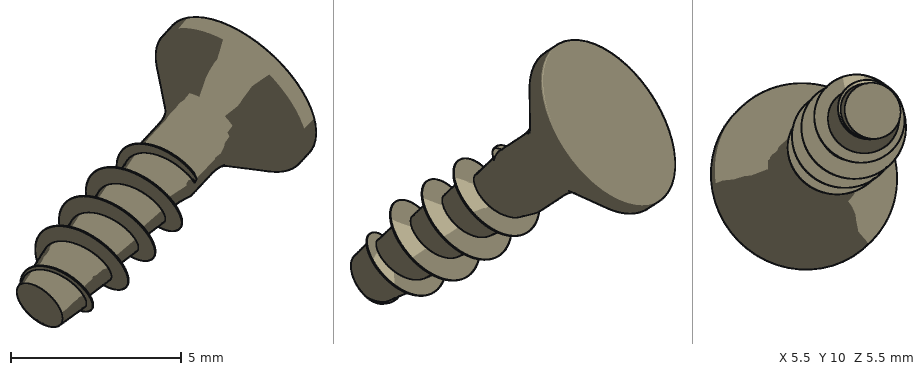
import cadquery as cq
import math

LENGTH = 10.0

HEAD_RADIUS = 2.75
HEAD_BAND = 0.54
HEAD_TOP_ROUND = 0.04
HEAD_EDGE_ROUND = 0.04
SHANK_RADIUS = 1.07
NECK_ROUND = 1.2
SHANK_END = 3.76
HEAD_CONE_END = HEAD_BAND + HEAD_RADIUS - SHANK_RADIUS

CORE_RADIUS = 0.84
LEAD_IN_SLOPE = 0.29
LEAD_IN_END = SHANK_END + (SHANK_RADIUS - CORE_RADIUS) / LEAD_IN_SLOPE
TIP_SLOPE = 0.17

TIP_RING_WIDTH = 0.04
DISH_RADIUS = CORE_RADIUS - TIP_RING_WIDTH
DISH_DEPTH = 0.06
TIP_CUT_LENGTH = 0.5
DISH_SPHERE_RADIUS = (DISH_RADIUS**2 + DISH_DEPTH**2) / (2 * DISH_DEPTH)

PITCH = 1.33
TURN_ZERO_DEPTH = 3.66
FULL_START = 1.0
FULL_END = 3.25
RUN_OUT_END = 4.75
CREST_RADIUS = 1.5
RUN_IN_RADIUS = 1.2
RUN_OUT_RADIUS = 0.85
CREST_HALF_WIDTH = 0.02
FLANK_SLOPE = 0.32

RAMP_RADIUS = 1.04
RAMP_SLOPE = 0.15
RAMP_WIDTH = 1.3
RAMP_START = -0.25
RAMP_START_DEPTH = TURN_ZERO_DEPTH + RAMP_START * PITCH

ROOT_RADIUS = 0.7
POINTS_PER_TURN = 24


def revolve_about_axis(points):
    """Revolve a half profile, given as (radius, depth) points, about the screw axis."""
    profile = cq.Workplane("XY").polyline([(radius, -depth) for radius, depth in points]).close()
    return profile.revolve(360, (0, 0, 0), (0, 1, 0))


def helix_edge(start, end, first, last):
    """Helix from turn start to turn end, moving evenly between two (offset, radius) points."""
    count = math.ceil(POINTS_PER_TURN * (end - start))
    points = []
    for i in range(count + 1):
        share = i / count
        turn = start + share * (end - start)
        offset = first[0] + share * (last[0] - first[0])
        radius = first[1] + share * (last[1] - first[1])
        angle = 2 * math.pi * turn
        depth = TURN_ZERO_DEPTH + PITCH * turn + offset
        points.append(cq.Vector(radius * math.cos(angle), -depth, radius * math.sin(angle)))
    return cq.Edge.makeSpline(points)


def helical_solid(start, end, first_section, last_section):
    """Solid between two sections of (offset towards the tip, radius) corners along the thread."""
    edges = [helix_edge(start, end, first, last) for first, last in zip(first_section, last_section)]
    faces = [cq.Face.makeRuledSurface(a, b) for a, b in zip(edges, edges[1:] + edges[:1])]
    for end_of_edge in (0, 1):
        corners = [edge.positionAt(end_of_edge) for edge in edges]
        faces.append(cq.Face.makeFromWires(cq.Wire.makePolygon(corners, close=True)))
    return cq.Workplane(cq.Solid.makeSolid(cq.Shell.makeShell(faces)).fix())


def round_circle(body, radius, depth, fillet):
    """Fillet the circular edge of the given radius and depth."""
    margin = 0.01
    reach = radius + margin
    box = cq.selectors.BoxSelector(
        (-reach, -depth - margin, -reach), (reach, -depth + margin, reach)
    )
    return body.edges("%CIRCLE").edges(box).fillet(fillet)


def make_head_and_shank():
    blank = revolve_about_axis([
        (0, 0),
        (HEAD_RADIUS, 0),
        (HEAD_RADIUS, HEAD_BAND),
        (SHANK_RADIUS, HEAD_CONE_END),
        (SHANK_RADIUS, SHANK_END),
        (CORE_RADIUS, LEAD_IN_END),
        (0, LEAD_IN_END),
    ])
    blank = round_circle(blank, SHANK_RADIUS, HEAD_CONE_END, NECK_ROUND)
    blank = round_circle(blank, HEAD_RADIUS, HEAD_BAND, HEAD_EDGE_ROUND)
    return round_circle(blank, HEAD_RADIUS, 0, HEAD_TOP_ROUND)


def make_core():
    """Cylinder with sawtooth ramps, trimmed to the conical tip."""
    section = [
        (0, ROOT_RADIUS),
        (0, RAMP_RADIUS),
        (RAMP_WIDTH, RAMP_RADIUS - RAMP_SLOPE * RAMP_WIDTH),
        (RAMP_WIDTH, ROOT_RADIUS),
    ]
    ramps = helical_solid(RAMP_START, RUN_OUT_END, section, section)
    core_length = LENGTH - RAMP_START_DEPTH
    core_start = cq.Workplane("XZ").workplane(offset=RAMP_START_DEPTH)
    cylinder = core_start.circle(CORE_RADIUS).extrude(core_length)
    envelope = revolve_about_axis([
        (0, RAMP_START_DEPTH),
        (CORE_RADIUS + TIP_SLOPE * core_length, RAMP_START_DEPTH),
        (CORE_RADIUS, LENGTH),
        (0, LENGTH),
    ])
    return cylinder.union(ramps, clean=False).intersect(envelope, clean=False)


def thread_section(crest_radius):
    root_half_width = CREST_HALF_WIDTH + FLANK_SLOPE * (crest_radius - ROOT_RADIUS)
    return [
        (-root_half_width, ROOT_RADIUS),
        (-CREST_HALF_WIDTH, crest_radius),
        (CREST_HALF_WIDTH, crest_radius),
        (root_half_width, ROOT_RADIUS),
    ]


def make_thread_parts():
    """Growing run-in, cut off flat at the shank, full turns and fading run-out of the thread."""
    stations = [
        (0, RUN_IN_RADIUS),
        (FULL_START, CREST_RADIUS),
        (FULL_END, CREST_RADIUS),
        (RUN_OUT_END, RUN_OUT_RADIUS),
    ]
    run_in, full_turns, run_out = [
        helical_solid(start, end, thread_section(first), thread_section(last))
        for (start, first), (end, last) in zip(stations, stations[1:])
    ]
    shank_zone = cq.Workplane("XZ").circle(HEAD_RADIUS).extrude(SHANK_END)
    return [run_in.cut(shank_zone), full_turns, run_out]


def make_tip_cutter():
    """Everything beyond the tip plane, bulging into the tip as a shallow dish."""
    beyond_tip = cq.Workplane("XZ").workplane(offset=LENGTH).circle(HEAD_RADIUS).extrude(TIP_CUT_LENGTH)
    dish_center = LENGTH + DISH_SPHERE_RADIUS - DISH_DEPTH
    dish = cq.Workplane("XY").sphere(DISH_SPHERE_RADIUS).translate((0, -dish_center, 0))
    return beyond_tip.union(dish)


screw = make_head_and_shank().union(make_core(), clean=False)
for thread_part in make_thread_parts():
    screw = screw.union(thread_part, clean=False)
screw = screw.cut(make_tip_cutter(), clean=False)
result = cq.Workplane(screw.solids().val())